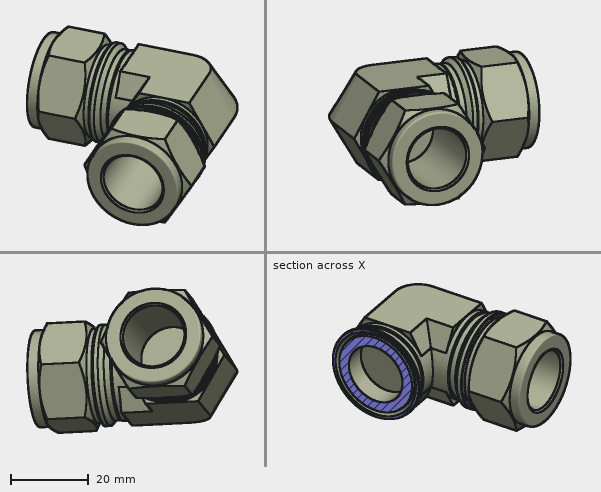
import cadquery as cq
import math


collar_diameter = 23.8
collar_end_at = 16.45
groove_diameter = 23.5
groove_chamfer = 0.4
flange_diameter = 26.1
flange_end_at = 21.15
flange_thickness = 1.3
neck_diameter = 22.22
dish_diameter = 25.4

collar_clearance = 0.005
body_across_flats = collar_diameter + 2 * collar_clearance
body_end_at = 14.9
collar_root_at = collar_diameter / 3

nut_across_flats = 25.4
lip_diameter = 24.3
lip_start_at = 21.5
lip_end_at = 23.0
lip_chamfer = 0.2
nose_diameter = 25.0
nose_start_at = 35.55
nose_fillet = 0.5
hex_chamfer_angle = 30.0
rim_clearance = 0.5
overall_length = 53.19

bore_diameter = 16.1
bore_chamfer = 0.55
bore_bottom_at = body_end_at

nut_across_corners = nut_across_flats / math.cos(math.radians(30))
arm_length = overall_length - nut_across_corners / 2


def swap_arms(shape):
    """Turn a -X arm half way about the X = Y diagonal, giving the -Y arm."""
    return shape.rotate((0, 0, 0), (1, 1, 0), 180)


def turned(points):
    """Revolve an (axial distance, radius) outline about the -X arm axis."""
    outline = [(-distance, radius) for distance, radius in points]
    return cq.Workplane("XY").polyline(outline).close().revolve(360, (0, 0, 0), (1, 0, 0))


def make_body():
    flat = body_across_flats / 2
    corner = flat / math.cos(math.radians(30))
    shoulder = corner / 2
    inner_flat_y = flat * math.cos(math.radians(30))
    inner_flat_z = flat * math.sin(math.radians(30))

    arm = (
        cq.Workplane("YZ")
        .polyline([
            (-inner_flat_y, inner_flat_z),
            (-shoulder, flat),
            (shoulder, flat),
            (corner, 0),
            (shoulder, -flat),
            (-shoulder, -flat),
            (-inner_flat_y, -inner_flat_z),
        ])
        .close()
        .extrude(-body_end_at)
    )
    outer_bend = (
        cq.Workplane("YZ")
        .polyline([(0, flat), (shoulder, flat), (corner, 0), (shoulder, -flat), (0, -flat)])
        .close()
        .revolve(90, (0, 0, 0), (0, -1, 0))
    )
    return arm.union(swap_arms(arm)).union(outer_bend)


def make_collar_and_flange():
    collar_radius = collar_diameter / 2
    groove_radius = groove_diameter / 2
    flange_radius = flange_diameter / 2
    neck_radius = neck_diameter / 2
    dish_radius = dish_diameter / 2
    dish_bottom_at = flange_end_at - (dish_radius - neck_radius)
    flange_start_at = flange_end_at - flange_thickness
    cone_start_at = flange_start_at - (flange_radius - groove_radius)
    return turned([
        (collar_root_at, 0),
        (collar_root_at, collar_radius),
        (collar_end_at, collar_radius),
        (collar_end_at, groove_radius - groove_chamfer),
        (collar_end_at + groove_chamfer, groove_radius),
        (cone_start_at, groove_radius),
        (flange_start_at, flange_radius),
        (flange_end_at, flange_radius),
        (flange_end_at, dish_radius),
        (dish_bottom_at, neck_radius),
        (lip_start_at, neck_radius),
        (lip_start_at, 0),
    ])


def make_nut():
    lip_radius = lip_diameter / 2
    nose_radius = nose_diameter / 2
    rim_radius = nut_across_corners / 2 + rim_clearance
    chamfer_slope = math.tan(math.radians(hex_chamfer_angle))
    back_chamfer = (rim_radius - lip_radius) * chamfer_slope
    front_chamfer = (rim_radius - nose_radius) * chamfer_slope

    hexagon = (
        cq.Workplane("YZ", origin=(-lip_start_at, 0, 0))
        .polygon(6, nut_across_corners)
        .extrude(lip_start_at - nose_start_at)
    )
    chamfer_envelope = turned([
        (lip_end_at, 0),
        (lip_end_at, lip_radius),
        (lip_end_at + back_chamfer, rim_radius),
        (nose_start_at - front_chamfer, rim_radius),
        (nose_start_at, nose_radius),
        (nose_start_at, 0),
    ])
    lip = turned([
        (lip_start_at, 0),
        (lip_start_at, lip_radius - lip_chamfer),
        (lip_start_at + lip_chamfer, lip_radius),
        (lip_end_at, lip_radius),
        (lip_end_at, 0),
    ])
    nose = (
        cq.Workplane("YZ", origin=(-nose_start_at, 0, 0))
        .circle(nose_radius)
        .extrude(nose_start_at - arm_length)
        .faces("<X")
        .edges()
        .fillet(nose_fillet)
    )
    return hexagon.intersect(chamfer_envelope).union(lip).union(nose)


def make_bore():
    bore_radius = bore_diameter / 2
    return turned([
        (bore_bottom_at, 0),
        (bore_bottom_at, bore_radius),
        (arm_length - bore_chamfer, bore_radius),
        (arm_length, bore_radius + bore_chamfer),
        (arm_length, 0),
    ])


fitting_end = make_collar_and_flange().union(make_nut()).cut(make_bore())
result = make_body().union(fitting_end).union(swap_arms(fitting_end))